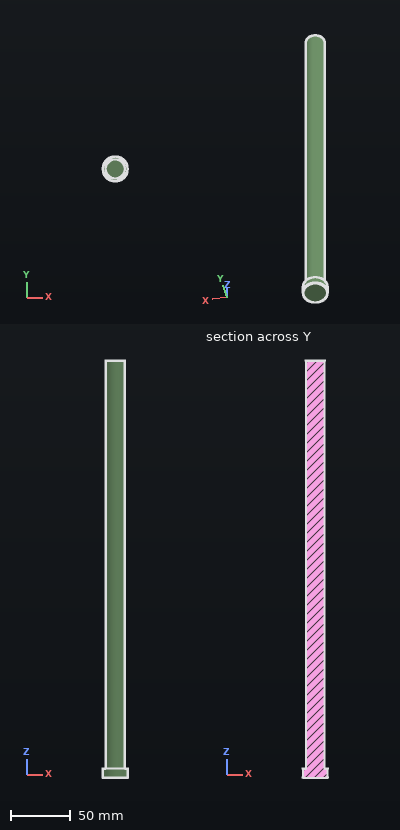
import cadquery as cq

total_length = 350.0
head_diameter = 21.0
head_height = 8.0
shaft_diameter = 16.0
root_fillet_radius = 0.8
head_edge_chamfer = 0.52

head = cq.Workplane("XY").circle(head_diameter / 2).extrude(head_height)
shaft = cq.Workplane("XY").circle(shaft_diameter / 2).extrude(total_length)
pin = head.union(shaft)

root_edge = pin.edges(cq.selectors.RadiusNthSelector(0)).edges("<Z")
pin = root_edge.fillet(root_fillet_radius)

result = pin.faces("<Z").edges().chamfer(head_edge_chamfer)